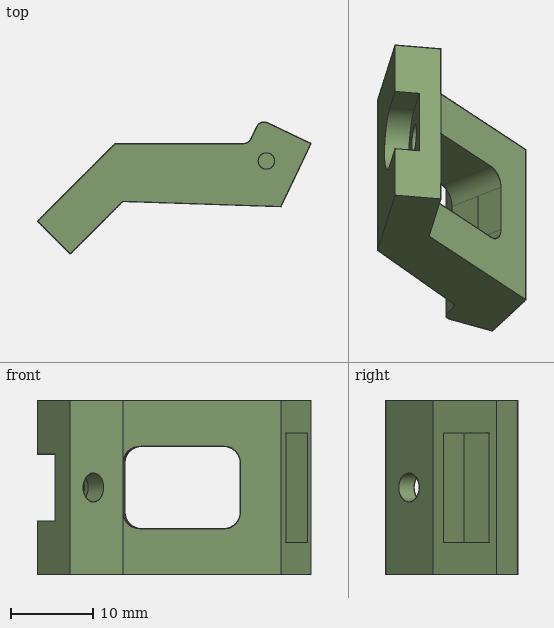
import cadquery as cq
import math

height = 21.2
length = 33.25
leg_drop = 4.0
body_back = 13.45
bend_inside = 10.38
front_tilt = 2.0
head_tilt = 25.5
head_width = 6.85
head_depth = 8.5
head_fillet = 1.0

leg_hole_diameter = 3.5
leg_hole_from_end = 4.0
seat_width = 8.08
seat_depth = 3.0

window_length = 14.25
window_height = 9.98
window_corner = 2.0
window_from_bend = 0.03

slot_height = 13.3
slot_wall = 1.0
slot_width = 6.12
slot_depth = 5.85
pin_diameter = 2.0
pin_from_end = 4.0

mid_height = height / 2
leg_thickness = leg_drop * math.sqrt(2)


def offset(point, angle, distance):
    """Point reached by moving a distance along an angle in degrees."""
    a = math.radians(angle)
    return (point[0] + distance * math.cos(a), point[1] + distance * math.sin(a))


top_edge_angle = 180 - head_tilt
end_face_angle = 270 - head_tilt

leg_outer = (0, leg_drop)
leg_tip = (leg_drop, 0)
front_bend = (bend_inside, bend_inside - leg_drop)
back_bend = (body_back - leg_drop, body_back)
head_corner = (length, body_back)
head_bottom = offset(head_corner, end_face_angle, head_depth)
head_top = offset(head_corner, top_edge_angle, head_width)
neck_rise = head_top[1] - body_back
neck = (head_top[0] - neck_rise * math.tan(math.radians(head_tilt)), body_back)


def make_plate():
    outline = [leg_outer, leg_tip, front_bend, head_bottom, head_corner, head_top, neck, back_bend]
    plate = cq.Workplane("XY").polyline(outline).close().extrude(height)
    for corner in (head_top, neck):
        edge = cq.selectors.NearestToPointSelector((*corner, mid_height))
        plate = plate.edges("|Z").edges(edge).fillet(head_fillet)
    return plate


def leg_cuts():
    """Round-ended seat in the outer leg face with a through hole at its arc centre."""
    outer_face = cq.Plane(origin=(*leg_outer, mid_height), xDir=(1, 1, 0), normal=(-1, 1, 0))
    radius = seat_width / 2
    seat = (
        cq.Workplane(outer_face)
        .moveTo(0, -radius)
        .lineTo(leg_hole_from_end, -radius)
        .threePointArc((leg_hole_from_end + radius, 0), (leg_hole_from_end, radius))
        .lineTo(0, radius)
        .close()
        .extrude(-seat_depth)
    )
    hole = (
        cq.Workplane(outer_face)
        .center(leg_hole_from_end, 0)
        .circle(leg_hole_diameter / 2)
        .extrude(-leg_thickness)
    )
    return seat.union(hole)


def window_cut():
    tilt = math.radians(front_tilt)
    front_face = cq.Plane(
        origin=(*front_bend, mid_height),
        xDir=(math.cos(tilt), -math.sin(tilt), 0),
        normal=(-math.sin(tilt), -math.cos(tilt), 0),
    )
    return (
        cq.Workplane(front_face)
        .center(window_from_bend + window_length / 2, 0)
        .sketch()
        .rect(window_length, window_height)
        .vertices()
        .fillet(window_corner)
        .finalize()
        .extrude(-body_back)
    )


def head_cuts():
    """Slot into the end face, and a pin hole from the top that opens into it."""
    slot_top = offset(head_corner, end_face_angle, slot_wall)
    slot_bottom = offset(slot_top, end_face_angle, slot_width)
    slot_outline = [
        slot_top,
        offset(slot_top, top_edge_angle, slot_depth),
        offset(slot_bottom, top_edge_angle, slot_depth),
        slot_bottom,
    ]
    slot_floor = mid_height - slot_height / 2
    slot = cq.Workplane("XY", origin=(0, 0, slot_floor)).polyline(slot_outline).close().extrude(slot_height)
    pin_axis = offset(offset(head_corner, end_face_angle, head_depth / 2), top_edge_angle, pin_from_end)
    pin_hole = (
        cq.Workplane("XY", origin=(*pin_axis, mid_height))
        .circle(pin_diameter / 2)
        .extrude(height - mid_height)
    )
    return slot.union(pin_hole)


result = make_plate().cut(leg_cuts()).cut(window_cut()).cut(head_cuts())